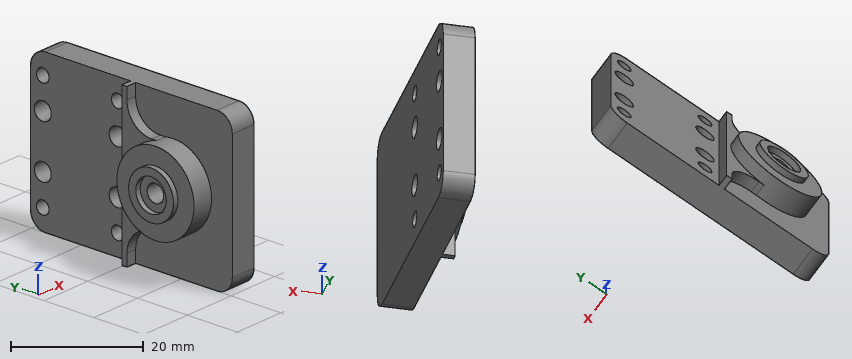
import cadquery as cq

plate_length = 40.5
plate_height = 29.6
plate_thickness = 5.0
corner_radius = 3.05

boss_y = -8.35
boss_diameter = 15.47
boss_height = 4.0
rim_diameter = 9.0
rim_height = 1.0
recess_diameter = 6.1
recess_depth = 1.0
bore_diameter = 3.32
bore_depth = boss_height

rib_near_y = 0.15
rib_thickness = 1.0
rib_height = 2.0
web_half_height = 7.57
web_fillet_radius = 5.0

hole_columns_y = (2.75, 17.78)
small_hole_diameter = 2.5
small_hole_z = 10.8
large_hole_diameter = 3.4
large_hole_z = 5.0

rim_top = boss_height + rim_height

face = cq.Workplane(cq.Plane(origin=(0, 0, 0), xDir=(0, -1, 0), normal=(-1, 0, 0)))


def disc(diameter, bottom, top):
    """Cylinder on the boss axis between two heights above the plate face."""
    return face.workplane(offset=bottom).center(-boss_y, 0).circle(diameter / 2).extrude(top - bottom)


def make_plate():
    blank = face.rect(plate_length, plate_height).extrude(-plate_thickness)
    return blank.edges("|X").fillet(corner_radius)


def make_rib():
    """Full-height rib and the web that flares from it to the boss axis."""
    near = -rib_near_y
    far = near + rib_thickness
    half_height = plate_height / 2
    blend_height = web_half_height + web_fillet_radius
    blend_end = far + web_fillet_radius
    profile = (
        face.moveTo(near, -half_height)
        .lineTo(far, -half_height)
        .lineTo(far, -blend_height)
        .radiusArc((blend_end, -web_half_height), web_fillet_radius)
        .lineTo(-boss_y, -web_half_height)
        .lineTo(-boss_y, web_half_height)
        .lineTo(blend_end, web_half_height)
        .radiusArc((far, blend_height), web_fillet_radius)
        .lineTo(far, half_height)
        .lineTo(near, half_height)
        .close()
    )
    return profile.extrude(rib_height)


def hole_group(diameter, z):
    points = [(-y, side * z) for y in hole_columns_y for side in (-1, 1)]
    return face.pushPoints(points).circle(diameter / 2).extrude(-plate_thickness)


body = make_plate().union(make_rib())
body = body.union(disc(boss_diameter, 0, boss_height))
body = body.union(disc(rim_diameter, boss_height, rim_top))

recess_floor = rim_top - recess_depth
body = body.cut(disc(recess_diameter, recess_floor, rim_top))
body = body.cut(disc(bore_diameter, recess_floor - bore_depth, recess_floor))

body = body.cut(hole_group(small_hole_diameter, small_hole_z))
result = body.cut(hole_group(large_hole_diameter, large_hole_z))